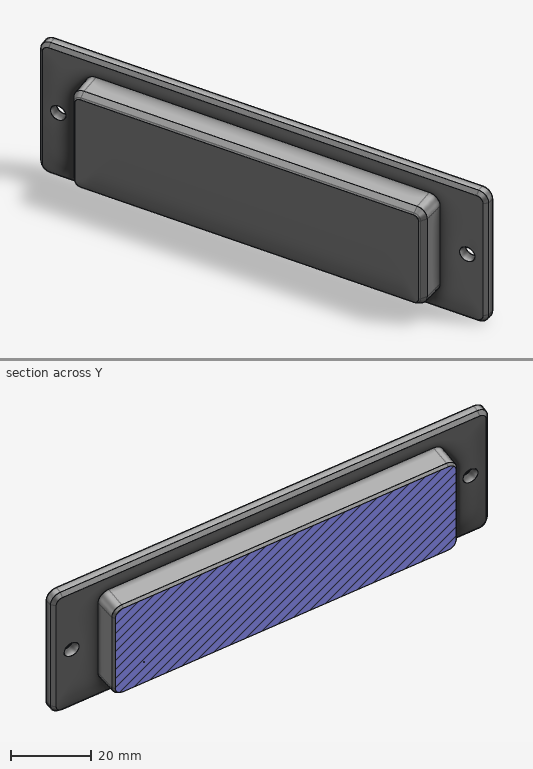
import cadquery as cq
import math

plate_length = 128.4
plate_height = 41.2
plate_thickness = 3.0
plate_corner_radius = 3.0
plate_chamfer = 1.0

draft_angle = 2.0

total_depth = 11.0
block_length = 101.8
block_height = 31.0
block_corner_radius = 3.2

bevel_depth = 1.5
bevel_inset = 1.0
edge_break = 0.4
straight_depth = total_depth - bevel_depth - edge_break

hole_diameter = 4.4
hole_spacing = 117.1


def rounded_slab(length, height, depth, corner_radius):
    """Drafted slab from y = 0 to y = -depth with rounded corners."""
    outline = cq.Sketch().rect(length, height).vertices().fillet(corner_radius)
    return cq.Workplane("XZ").placeSketch(outline).extrude(depth, taper=draft_angle)


def add_bevel(body, depth, inset):
    """Extend the front face by depth while its outline shrinks by inset on every side."""
    taper_angle = math.degrees(math.atan2(inset, depth))
    return body.faces("<Y").wires().toPending().workplane().extrude(depth, taper=taper_angle)


plate = rounded_slab(plate_length, plate_height, plate_thickness - plate_chamfer, plate_corner_radius)
plate = add_bevel(plate, plate_chamfer, plate_chamfer)

block = rounded_slab(block_length, block_height, straight_depth, block_corner_radius)
block = add_bevel(block, bevel_depth, bevel_inset)
block = add_bevel(block, edge_break, edge_break)

holes = (
    cq.Workplane("XZ")
    .pushPoints([(-hole_spacing / 2, 0), (hole_spacing / 2, 0)])
    .circle(hole_diameter / 2)
    .extrude(plate_thickness)
)

result = plate.union(block).cut(holes)